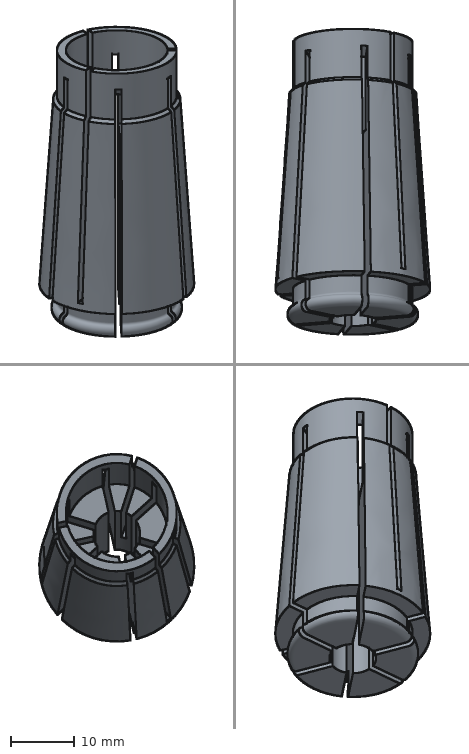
import cadquery as cq
import math

height = 45.1
collar_radius = 9.45
cone_base_radius = 24.5 / 2
cone_top_radius = 10.05
cone_base_z = 5.05
cone_top_z = 36.7
shoulder_z = 37.25

rim_round = 1.0
rim_radius = 10.35
neck_blend = 0.5

bore_radius = 7.35 / 2
counterbore_radius = 8.05
counterbore_floor_z = 29.15

bottom_slot_width = 1.0
bottom_slot_top_z = 42.4
bottom_slot_angles = range(30, 360, 60)

top_slot_width = 0.8
top_slot_floor_z = 6.22
top_slot_angles = range(60, 360, 120)
saw_radius = 12.0

clearance = 2.25


def polar(center, radius, angle):
    """Point on a circle, with the angle in radians."""
    return (center[0] + radius * math.cos(angle), center[1] + radius * math.sin(angle))


def make_body():
    """Revolve the outside profile, drawn as (radius, z) points."""
    rim_center = (rim_radius - rim_round, rim_round)
    blend_x = collar_radius + neck_blend
    center_gap_x = blend_x - rim_center[0]
    center_gap_z = math.sqrt((rim_round + neck_blend) ** 2 - center_gap_x ** 2)
    blend_center = (blend_x, rim_center[1] + center_gap_z)
    touch_angle = math.atan2(center_gap_z, center_gap_x)
    blend_mid_angle = math.pi + touch_angle / 2

    profile = (
        cq.Workplane("XZ")
        .lineTo(rim_center[0], 0)
        .threePointArc((rim_radius, rim_round), polar(rim_center, rim_round, touch_angle))
        .threePointArc(
            polar(blend_center, neck_blend, blend_mid_angle),
            (collar_radius, blend_center[1]),
        )
        .lineTo(collar_radius, cone_base_z)
        .lineTo(cone_base_radius, cone_base_z)
        .lineTo(cone_top_radius, cone_top_z)
        .lineTo(collar_radius, shoulder_z)
        .lineTo(collar_radius, height)
        .lineTo(0, height)
        .close()
    )
    return profile.revolve(360, (0, 0, 0), (0, 1, 0))


def make_bore():
    """Through bore with a wide counterbore from the top."""
    through = cq.Workplane("XY").circle(bore_radius).extrude(height)
    wide = (
        cq.Workplane("XY", origin=(0, 0, counterbore_floor_z))
        .circle(counterbore_radius)
        .extrude(height - counterbore_floor_z)
    )
    return through.union(wide)


def make_bottom_slot():
    """Radial cutter along +X whose ceiling falls at 45 degrees towards the axis."""
    outer = cone_base_radius + clearance
    axis_z = bottom_slot_top_z - collar_radius
    return (
        cq.Workplane("XZ")
        .moveTo(0, -clearance)
        .lineTo(outer, -clearance)
        .lineTo(outer, axis_z + outer)
        .lineTo(0, axis_z)
        .close()
        .extrude(bottom_slot_width / 2, both=True)
    )


def make_top_slot():
    """Radial cutter along +X whose floor is a saw arc, lowest at the cone's outside."""
    outer = cone_base_radius + clearance
    saw_center = (cone_base_radius, top_slot_floor_z + saw_radius)
    inner_angle = math.pi + math.acos((cone_base_radius - bore_radius / 2) / saw_radius)
    mid_angle = (inner_angle + 3 * math.pi / 2) / 2
    inner_end = polar(saw_center, saw_radius, inner_angle)
    return (
        cq.Workplane("XZ")
        .moveTo(outer, top_slot_floor_z)
        .lineTo(cone_base_radius, top_slot_floor_z)
        .threePointArc(polar(saw_center, saw_radius, mid_angle), inner_end)
        .lineTo(inner_end[0], height + clearance)
        .lineTo(outer, height + clearance)
        .close()
        .extrude(top_slot_width / 2, both=True)
    )


def cut_slots(body, cutter, angles):
    """Cut one slot at each angle around the Z axis."""
    for angle in angles:
        body = body.cut(cutter.rotate((0, 0, 0), (0, 0, 1), angle))
    return body


result = make_body().cut(make_bore())
result = cut_slots(result, make_bottom_slot(), bottom_slot_angles)
result = cut_slots(result, make_top_slot(), top_slot_angles)